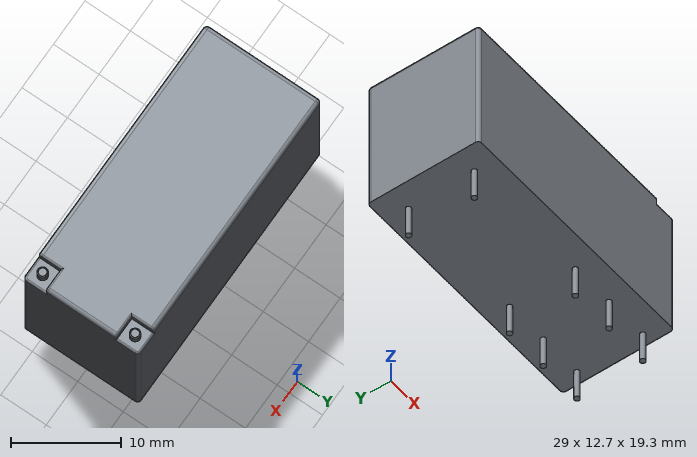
import cadquery as cq

LENGTH = 29.0
WIDTH = 12.71
HEIGHT = 15.7
EDGE_RADIUS = 0.4

NOTCH_LENGTH = 2.47
NOTCH_WIDTH = 2.47
NOTCH_DEPTH = 0.92
NOTCH_EDGE_RADIUS = 0.18

POST_DIAMETER = 1.04
POST_CHAMFER = 0.12
POST_INSET = 1.27

PIN_DIAMETER = 0.6
PIN_LENGTH = 3.6
CONTACT_PITCH = 5.0
PIN_ROW_SPACING = 7.5
COIL_PIN_INSET = 2.73
FIRST_CONTACT_INSET = 17.73
CONTACT_COUNT = 3

SIDES = (-1, 1)
NOTCH_FLOOR = HEIGHT - NOTCH_DEPTH

TOUCHING = 0.001


def make_housing():
    """Block with rounded vertical and top edges and a sharp bottom rim."""
    block = cq.Workplane("XY").box(LENGTH, WIDTH, HEIGHT, centered=(True, True, False))
    return block.edges("|Z or >Z").fillet(EDGE_RADIUS)


def cut_notch(housing, side):
    """Cut one corner notch and round its outer rim, leaving its inner corner sharp."""
    corner = cq.Vector(LENGTH / 2 - NOTCH_LENGTH, side * (WIDTH / 2 - NOTCH_WIDTH), NOTCH_FLOOR)
    tool = (
        cq.Workplane("XY", origin=corner.toTuple())
        .rect(2 * NOTCH_LENGTH, side * 2 * NOTCH_WIDTH, centered=False)
        .extrude(2 * NOTCH_DEPTH)
    )
    notched = housing.cut(tool)

    notch_edges = notched.edges().filter(
        lambda edge: tool.val().isInside(edge.positionAt(0.5), TOUCHING)
    )
    corner_point = cq.Vertex.makeVertex(*corner.toTuple())
    rim = notch_edges.filter(lambda edge: edge.distance(corner_point) > TOUCHING)
    return rim.fillet(NOTCH_EDGE_RADIUS)


def make_post(side):
    """Post with a chamfered tip, rising from a notch floor."""
    x = LENGTH / 2 - POST_INSET
    y = side * (WIDTH / 2 - POST_INSET)
    return (
        cq.Workplane("XY", origin=(x, y, NOTCH_FLOOR))
        .circle(POST_DIAMETER / 2)
        .extrude(NOTCH_DEPTH)
        .faces(">Z")
        .chamfer(POST_CHAMFER)
    )


def make_pins():
    """Both rows of terminal pins."""
    insets = [COIL_PIN_INSET]
    for index in range(CONTACT_COUNT):
        insets.append(FIRST_CONTACT_INSET + index * CONTACT_PITCH)
    centres = []
    for side in SIDES:
        for inset in insets:
            centres.append((inset - LENGTH / 2, side * PIN_ROW_SPACING / 2))
    return cq.Workplane("XY").pushPoints(centres).circle(PIN_DIAMETER / 2).extrude(-PIN_LENGTH)


result = make_housing()
for side in SIDES:
    result = cut_notch(result, side)
    result = result.union(make_post(side))
result = result.union(make_pins())